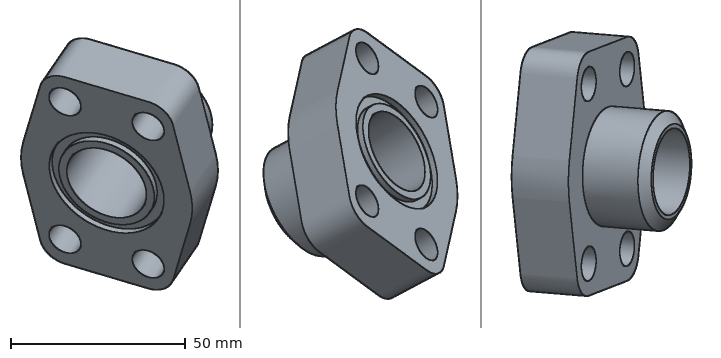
import cadquery as cq
import math

height = 71.0
width = 53.8
plate_thickness = 17.95
corner_radius = 8.0
hole_x = 13.05
hole_z = 26.1
hole_diameter = 10.0

total_depth = 38.0
neck_diameter = 34.6
neck_chamfer_length = 2.55
neck_chamfer_radial = 3.55
bore_diameter = 25.0

groove_outer_diameter = 36.0
groove_inner_diameter = 29.95
groove_depth = 2.0

side_radius = width / 2
corner_x = hole_x
corner_z = height / 2 - corner_radius
flank_angle = math.atan2(corner_z, corner_x) - math.acos(
    (side_radius - corner_radius) / math.hypot(corner_x, corner_z)
)


def arc_point(center_x, center_z, radius, angle):
    """Point on an arc, with the angle measured from +X towards +Z."""
    return (center_x + radius * math.cos(angle), center_z + radius * math.sin(angle))


def mirror_x(point):
    return (-point[0], point[1])


def mirror_z(point):
    return (point[0], -point[1])


def rotate_half_turn(point):
    return (-point[0], -point[1])


def make_plate():
    side_end = arc_point(0, 0, side_radius, flank_angle)
    corner_start = arc_point(corner_x, corner_z, corner_radius, flank_angle)
    corner_middle_angle = (flank_angle + math.pi / 2) / 2
    corner_middle = arc_point(corner_x, corner_z, corner_radius, corner_middle_angle)
    corner_end = (corner_x, height / 2)
    outline = (
        cq.Workplane("XZ")
        .moveTo(*mirror_z(side_end))
        .threePointArc((side_radius, 0), side_end)
        .lineTo(*corner_start)
        .threePointArc(corner_middle, corner_end)
        .lineTo(*mirror_x(corner_end))
        .threePointArc(mirror_x(corner_middle), mirror_x(corner_start))
        .lineTo(*mirror_x(side_end))
        .threePointArc((-side_radius, 0), rotate_half_turn(side_end))
        .lineTo(*rotate_half_turn(corner_start))
        .threePointArc(rotate_half_turn(corner_middle), rotate_half_turn(corner_end))
        .lineTo(*mirror_z(corner_end))
        .threePointArc(mirror_z(corner_middle), mirror_z(corner_start))
        .close()
    )
    return outline.extrude(-plate_thickness)


def make_neck():
    """Revolved neck with a bevelled end, starting at the front face."""
    radius = neck_diameter / 2
    return (
        cq.Workplane("XY")
        .lineTo(radius, 0)
        .lineTo(radius, total_depth - neck_chamfer_length)
        .lineTo(radius - neck_chamfer_radial, total_depth)
        .lineTo(0, total_depth)
        .close()
        .revolve(360, (0, 0), (0, 1))
    )


def make_bore():
    return cq.Workplane("XZ").circle(bore_diameter / 2).extrude(-total_depth)


def make_bolt_holes():
    return (
        cq.Workplane("XZ")
        .rect(2 * hole_x, 2 * hole_z, forConstruction=True)
        .vertices()
        .circle(hole_diameter / 2)
        .extrude(-plate_thickness)
    )


def make_groove():
    return (
        cq.Workplane("XZ")
        .circle(groove_outer_diameter / 2)
        .circle(groove_inner_diameter / 2)
        .extrude(-groove_depth)
    )


body = make_plate().union(make_neck())
result = body.cut(make_bore()).cut(make_bolt_holes()).cut(make_groove())